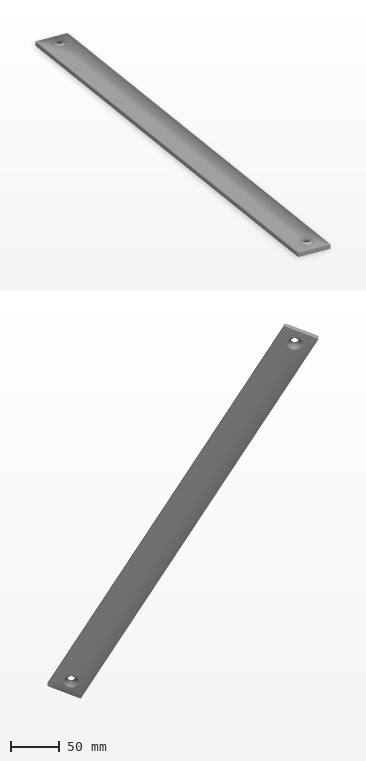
import cadquery as cq

length = 546.0
width = 38.0
overall_height = 7.0
plate_thickness = 5.0

collar_base_diameter = 13.5
collar_top_diameter = 9.0
hole_diameter = 8.0
countersink_diameter = 16.0
countersink_angle = 90.0
end_distance = 16.5
collar_height = overall_height - plate_thickness
hole_offset = length / 2 - end_distance


def collar(x):
    """Cone frustum standing on the top face of the bar."""
    return (
        cq.Workplane("XY", origin=(x, 0, plate_thickness))
        .circle(collar_base_diameter / 2)
        .workplane(offset=collar_height)
        .circle(collar_top_diameter / 2)
        .loft()
    )


result = cq.Workplane("XY").box(length, width, plate_thickness, centered=(True, True, False))
for x in (-hole_offset, hole_offset):
    result = result.union(collar(x))

result = (
    result.faces("<Z")
    .workplane(origin=(0, 0, 0))
    .pushPoints([(-hole_offset, 0), (hole_offset, 0)])
    .cskHole(hole_diameter, countersink_diameter, countersink_angle)
)